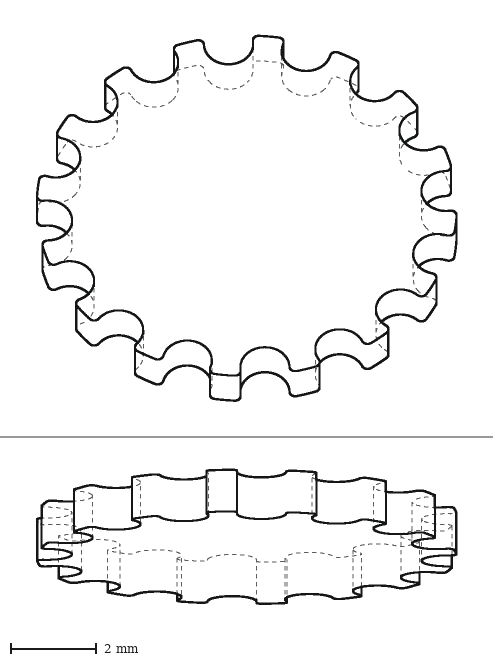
import cadquery as cq
import math

thickness = 1.0
overall_width = 9.68
tooth_count = 16
root_radius = 4.085
gap_radius = 0.57
tip_fillet_radius = 0.14

gap_center_radius = root_radius + gap_radius

fillet_center_x = overall_width / 2 - tip_fillet_radius
fillet_center_y = math.sqrt(
    (gap_radius + tip_fillet_radius) ** 2 - (fillet_center_x - gap_center_radius) ** 2
)
tip_radius = math.hypot(fillet_center_x, fillet_center_y) + tip_fillet_radius

corner_angle = math.acos(
    (tip_radius**2 + gap_center_radius**2 - gap_radius**2)
    / (2 * tip_radius * gap_center_radius)
)


def polar_point(radius, angle):
    return (radius * math.cos(angle), radius * math.sin(angle))


def wheel_outline():
    """Round gaps centred on the X and Y axes, joined by arcs over the tooth tips."""
    pitch = 2 * math.pi / tooth_count
    outline = cq.Workplane("XY").moveTo(*polar_point(tip_radius, -corner_angle))
    for index in range(tooth_count):
        gap_angle = index * pitch
        gap_end = polar_point(tip_radius, gap_angle + corner_angle)
        outline = outline.threePointArc(polar_point(root_radius, gap_angle), gap_end)
        tooth_middle = polar_point(tip_radius, gap_angle + pitch / 2)
        tooth_end = polar_point(tip_radius, gap_angle + pitch - corner_angle)
        outline = outline.threePointArc(tooth_middle, tooth_end)
    return outline.close()


wheel = wheel_outline().extrude(thickness)
result = wheel.edges("|Z").fillet(tip_fillet_radius)